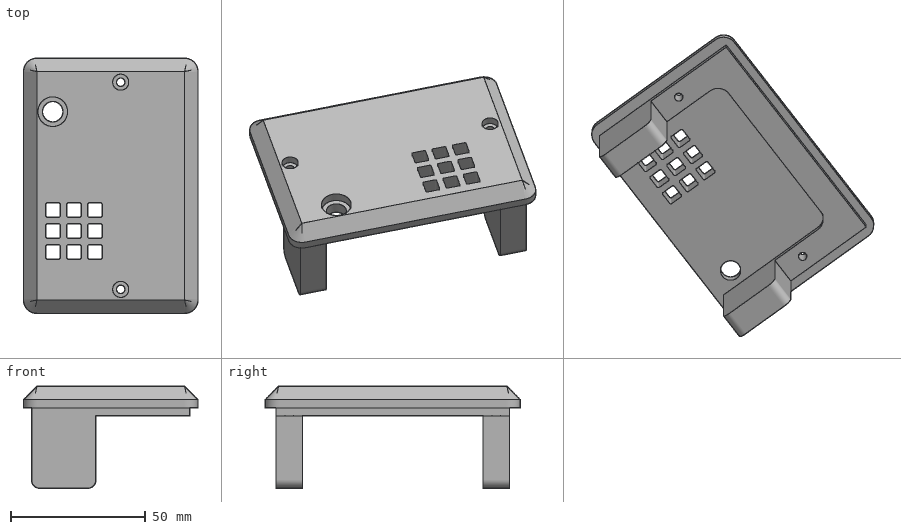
import cadquery as cq

plate_width = 65.0
plate_length = 95
total_height = 38
rim_height = 3.0
bevel = 5.0
bevel_angle = 45
plate_top = rim_height + bevel

frame_inset_x = 3.0
frame_inset_y = 4.0
frame_height = 2.9
frame_band = 10.0
frame_width = plate_width - 2 * frame_inset_x
frame_length = plate_length - 2 * frame_inset_y
pocket_corner_radius = 5.0

leg_width = 23.9
leg_height = total_height - plate_top
leg_fillet = 3.0

screw_x = 3.7
screw_y = frame_length / 2 - frame_band / 2
screw_hole_diameter = 3.0
screw_head_diameter = 6.0
screw_head_depth = 3.0

button_x = -21.6
button_y = 27.55
button_hole_diameter = 7.5
button_recess_diameter = 11.0
button_recess_depth = 3.5

grille_x = -13.7
grille_y = -16.8
grille_count = 3
grille_pitch = 7.8
opening_size = 5.3
opening_corner_radius = 0.6


def make_plate():
    """Plate with rounded upright corners and a bevel up to a sharp-cornered top face."""
    top_width = plate_width - 2 * bevel
    top_length = plate_length - 2 * bevel
    rim = (
        cq.Workplane("XY")
        .rect(plate_width, plate_length)
        .extrude(rim_height)
        .edges("|Z")
        .fillet(bevel)
    )
    slope = (
        cq.Workplane("XY", origin=(0, 0, plate_top))
        .rect(top_width, top_length)
        .extrude(-bevel, taper=-bevel_angle)
    )
    return rim.union(slope)


def make_frame():
    """Frame with a pocket left open on the -X side."""
    pocket_width = frame_width - frame_band
    pocket_length = frame_length - 2 * frame_band
    pocket = (
        cq.Workplane("XY")
        .center(-frame_band / 2, 0)
        .rect(pocket_width, pocket_length)
        .extrude(-frame_height)
        .edges("|Z and >X")
        .fillet(pocket_corner_radius)
    )
    return cq.Workplane("XY").rect(frame_width, frame_length).extrude(-frame_height).cut(pocket)


def make_leg(side):
    """Leg at the -X end of one frame arm; side is +1 or -1 along Y."""
    return (
        cq.Workplane("XY")
        .center((leg_width - frame_width) / 2, side * screw_y)
        .rect(leg_width, frame_band)
        .extrude(-leg_height)
        .edges("|Y and <Z")
        .fillet(leg_fillet)
    )


def counterbore(body, points, hole_diameter, recess_diameter, recess_depth):
    """Counterbored through holes sunk from the top face."""
    return (
        body.copyWorkplane(cq.Workplane("XY", origin=(0, 0, plate_top)))
        .pushPoints(points)
        .cboreHole(hole_diameter, recess_diameter, recess_depth)
    )


def make_grille():
    """Cutters for the square array of openings."""
    return (
        cq.Workplane("XY")
        .center(grille_x, grille_y)
        .rarray(grille_pitch, grille_pitch, grille_count, grille_count)
        .rect(opening_size, opening_size)
        .extrude(plate_top)
        .edges("|Z")
        .fillet(opening_corner_radius)
    )


body = make_plate().union(make_frame())
for side in (-1, 1):
    body = body.union(make_leg(side))

screw_points = [(screw_x, -screw_y), (screw_x, screw_y)]
body = counterbore(body, screw_points, screw_hole_diameter, screw_head_diameter, screw_head_depth)
body = counterbore(
    body, [(button_x, button_y)], button_hole_diameter, button_recess_diameter, button_recess_depth
)
result = body.cut(make_grille())